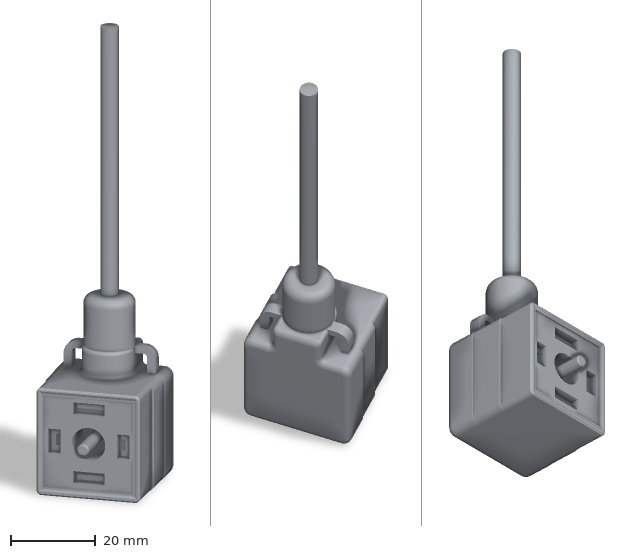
import cadquery as cq
import math


housing_height = 26.5
flat_half_width = 11.5
back_y = 8.3
cover_front_y = -0.1
middle_front_y = -8.6
face_y = -18.6
cover_width = 27.5
middle_width = 26.8
front_width = 25.5
face_chamfer = 0.5
back_edge_radius = 1.6

face_z = 13.4
plate_width = 22.0
plate_height = 22.8
plate_depth = 0.8
mouth_width = 23.9
mouth_height = 24.7
ledge_width = 22.8
ledge_height = 23.5
ledge_depth = 0.3
pin_hole_diameter = 8.1
pin_hole_depth = 10.0
pin_diameter = 2.9
pin_tip_y = -23.0
pin_chamfer = 0.3

slot_offset = 8.5
slot_depth = 2.2
blade_height = 0.6
flat_slot_length = 7.8
flat_slot_width = 3.1
flat_blade_length = 6.5
flat_blade_width = 1.1
flat_blade_shift = 0.3
side_slot_length = 6.1
side_slot_width = 3.1
side_blade_length = 5.5
side_blade_width = 2.1
side_blade_shift = 0.1
blade_notch_length = 2.8
blade_notch_width = 1.0
plate_y = face_y + plate_depth
blade_y = plate_y + slot_depth - blade_height

collar_diameter = 12.4
collar_axis_y = -1.1
collar_top_z = 32.9
collar_top_radius = 0.9
collar_base_radius = 1.0
neck_diameter = 12.4
neck_top_z = 45.3
neck_edge_radius = 2.1
cable_diameter = 4.4
cable_top_z = 111.6

loop_back_y = 2.9
loop_half_span = 11.3
loop_leg_width = 2.0
loop_bar_height = 1.7
loop_outer_radius = 3.0
loop_inner_radius = 0.9


def shell(width, y_from, y_to):
    """Rounded block spanning y_from (front) to y_to (back)."""
    return (
        cq.Workplane("XZ", origin=(0, y_to, housing_height / 2))
        .rect(width, housing_height)
        .extrude(y_to - y_from)
        .edges("|Y")
        .fillet(width / 2 - flat_half_width)
    )


def collar_half_profile(drawing_plane):
    """Right half of the collar section, flared where it meets the housing top."""
    radius = collar_diameter / 2
    diagonal = 1 - math.sqrt(0.5)
    flare_mid = (radius + collar_base_radius * diagonal, housing_height + collar_base_radius * diagonal)
    top_mid = (radius - collar_top_radius * diagonal, collar_top_z - collar_top_radius * diagonal)
    root_z = housing_height - collar_base_radius
    return (
        drawing_plane
        .moveTo(0, root_z)
        .lineTo(radius + collar_base_radius, root_z)
        .lineTo(radius + collar_base_radius, housing_height)
        .threePointArc(flare_mid, (radius, housing_height + collar_base_radius))
        .lineTo(radius, collar_top_z - collar_top_radius)
        .threePointArc(top_mid, (radius - collar_top_radius, collar_top_z))
        .lineTo(0, collar_top_z)
        .close()
    )


def collar_block(y_from, y_to):
    """Straight part of the collar between two Y positions."""
    half = collar_half_profile(cq.Workplane("XZ", origin=(0, y_to, 0))).extrude(y_to - y_from)
    return half.union(half.mirror("YZ"))


def housing():
    cover = shell(cover_width, cover_front_y, back_y)
    cover = cover.union(collar_block(cover_front_y, back_y)).clean()
    cover = cover.faces(">Y").edges().fillet(back_edge_radius)
    middle = shell(middle_width, middle_front_y, cover_front_y)
    front = shell(front_width, face_y, middle_front_y).faces("<Y").edges().chamfer(face_chamfer)
    return cover.union(middle).union(front).clean()


def cable_outlet():
    straight = collar_block(collar_axis_y, cover_front_y)
    rounded = collar_half_profile(cq.Workplane("XZ", origin=(0, collar_axis_y, 0)))
    rounded = rounded.revolve(360, (0, 0, 0), (0, 1, 0))
    neck = (
        cq.Workplane("XY", origin=(0, 0, housing_height))
        .circle(neck_diameter / 2)
        .extrude(neck_top_z - housing_height)
        .faces(">Z")
        .edges()
        .fillet(neck_edge_radius)
    )
    cable = (
        cq.Workplane("XY", origin=(0, 0, housing_height))
        .circle(cable_diameter / 2)
        .extrude(cable_top_z - housing_height)
    )
    return straight.union(rounded).union(neck).union(cable)


def strap_loops():
    depth = loop_back_y - cover_front_y
    plane = cq.Workplane("XZ", origin=(0, loop_back_y, 0))
    root_z = housing_height - back_edge_radius
    inner_half_span = loop_half_span - loop_leg_width
    inner_top_z = collar_top_z - loop_bar_height

    def arch(half_span, top_z, corner_radius):
        return (
            plane.center(0, (root_z + top_z) / 2)
            .rect(2 * half_span, top_z - root_z)
            .extrude(depth)
            .edges("|Y and >Z")
            .fillet(corner_radius)
        )

    outer = arch(loop_half_span, collar_top_z, loop_outer_radius)
    return outer.cut(arch(inner_half_span, inner_top_z, loop_inner_radius))


def face_block(x, z, width, height, y_from, depth):
    """Rectangular block starting at y_from and going into the housing."""
    return (
        cq.Workplane("XZ", origin=(x, y_from, z))
        .rect(width, height)
        .extrude(-depth)
    )


def plate_recess():
    lead_in = (
        cq.Workplane("XZ", origin=(0, face_y, face_z))
        .rect(mouth_width, mouth_height)
        .workplane(offset=-ledge_depth)
        .rect(ledge_width, ledge_height)
        .loft()
    )
    return lead_in.union(face_block(0, face_z, plate_width, plate_height, face_y, plate_depth))


def flat_slot(side):
    """Slot above (side = 1) or below (side = -1) the pin, leaving a flat blade."""
    z = face_z + side * slot_offset
    blade_z = z + side * flat_blade_shift
    slot = face_block(0, z, flat_slot_length, flat_slot_width, plate_y, slot_depth)
    blade = face_block(0, blade_z, flat_blade_length, flat_blade_width, blade_y, blade_height)
    return slot.cut(blade)


def side_slot(side):
    """Slot right (side = 1) or left (side = -1) of the pin, leaving a C-shaped blade."""
    x = side * slot_offset
    blade_x = x + side * side_blade_shift
    notch_x = blade_x - side * (side_blade_width - blade_notch_width) / 2
    slot = face_block(x, face_z, side_slot_width, side_slot_length, plate_y, slot_depth)
    blade = face_block(blade_x, face_z, side_blade_width, side_blade_length, blade_y, blade_height)
    notch = face_block(notch_x, face_z, blade_notch_width, blade_notch_length, blade_y, blade_height)
    return slot.cut(blade.cut(notch))


def pin_hole():
    return (
        cq.Workplane("XZ", origin=(0, face_y, face_z))
        .circle(pin_hole_diameter / 2)
        .extrude(-pin_hole_depth)
    )


def contact_pin():
    pin_hole_floor_y = face_y + pin_hole_depth
    return (
        cq.Workplane("XZ", origin=(0, pin_hole_floor_y, face_z))
        .circle(pin_diameter / 2)
        .extrude(pin_hole_floor_y - pin_tip_y)
        .faces("<Y")
        .edges()
        .chamfer(pin_chamfer)
    )


result = housing().union(cable_outlet()).union(strap_loops())
result = result.cut(plate_recess()).cut(pin_hole())
for slot_side in (1, -1):
    result = result.cut(flat_slot(slot_side)).cut(side_slot(slot_side))
result = result.union(contact_pin())